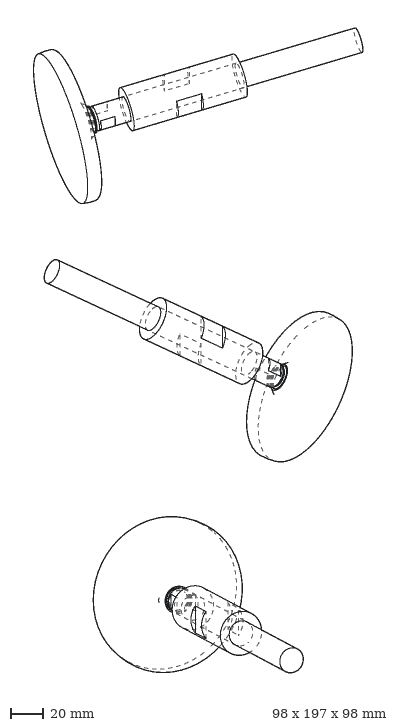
import cadquery as cq

total_length = 197.0

foot_radius = 98.0 / 2
base_radius = 48.5
base_taper_height = 4.3
rim_top = 7.3
shoulder_radius = 46.5
shoulder_height = 9.8
blend_outer_radius = 14.2
blend_outer_height = 15.4
dome_base_radius = 11.5
dome_base_height = 16.7
dome_mid_radius = 10.0
dome_mid_height = 18.7
dome_top_radius = 7.7
dome_top_height = 20.3
lip_radius = 8.7
lip_thickness = 0.5
foot_height = dome_top_height + lip_thickness
rim_bulge = 0.5

rod_radius = 16.0 / 2
neck_radius = 6.3
neck_top = 21.7
collar_bottom = 22.9
spindle_flat_bottom = 24.0
spindle_flat_length = 9.5
spindle_across_flats = 12.6

sleeve_radius = 28.0 / 2
sleeve_bottom = 43.5
sleeve_length = 74.9
sleeve_flat_length = 16.5
sleeve_across_flats = 22.0


def revolve_about_y(profile):
    """Revolve a closed XY profile a full turn about the Y axis."""
    return profile.close().revolve(360, (0, 0, 0), (0, 1, 0))


def cut_wrench_flats(body, radius, across_flats, bottom, length):
    """Cut two opposite flats, facing -X and +X, into a round body."""
    depth = radius - across_flats / 2
    for side in (-1, 1):
        cutter = cq.Workplane("XY").box(2 * depth, length, 2 * radius)
        body = body.cut(cutter.translate((side * (across_flats / 2 + depth), bottom + length / 2, 0)))
    return body


def make_foot():
    """Round plate with a tapered base, rounded rim, conical top, blended dome and thin lip."""
    rim_mid = (
        (foot_radius + shoulder_radius) / 2 + rim_bulge,
        (rim_top + shoulder_height) / 2 + rim_bulge,
    )
    profile = (
        cq.Workplane("XY")
        .lineTo(base_radius, 0)
        .lineTo(foot_radius, base_taper_height)
        .lineTo(foot_radius, rim_top)
        .threePointArc(rim_mid, (shoulder_radius, shoulder_height))
        .lineTo(blend_outer_radius, blend_outer_height)
        .tangentArcPoint((dome_base_radius, dome_base_height), relative=False)
        .threePointArc((dome_mid_radius, dome_mid_height), (dome_top_radius, dome_top_height))
        .lineTo(lip_radius, dome_top_height)
        .lineTo(lip_radius, foot_height)
        .lineTo(0, foot_height)
    )
    return revolve_about_y(profile)


def make_spindle():
    """Rod standing on the foot, with a narrow neck, a collar and wrench flats."""
    profile = (
        cq.Workplane("XY")
        .moveTo(0, foot_height)
        .lineTo(neck_radius, foot_height)
        .lineTo(neck_radius, neck_top)
        .lineTo(rod_radius, collar_bottom)
        .lineTo(rod_radius, total_length)
        .lineTo(0, total_length)
    )
    return cut_wrench_flats(
        revolve_about_y(profile), rod_radius, spindle_across_flats, spindle_flat_bottom, spindle_flat_length
    )


def make_sleeve():
    """Tube fitting the rod, with wrench flats at mid length."""
    profile = (
        cq.Workplane("XY")
        .moveTo(rod_radius, sleeve_bottom)
        .lineTo(sleeve_radius, sleeve_bottom)
        .lineTo(sleeve_radius, sleeve_bottom + sleeve_length)
        .lineTo(rod_radius, sleeve_bottom + sleeve_length)
    )
    flat_bottom = sleeve_bottom + (sleeve_length - sleeve_flat_length) / 2
    return cut_wrench_flats(
        revolve_about_y(profile), sleeve_radius, sleeve_across_flats, flat_bottom, sleeve_flat_length
    )


foot = make_foot()
spindle = make_spindle()
sleeve = make_sleeve()

result = cq.Compound.makeCompound([foot.val(), spindle.val(), sleeve.val()])